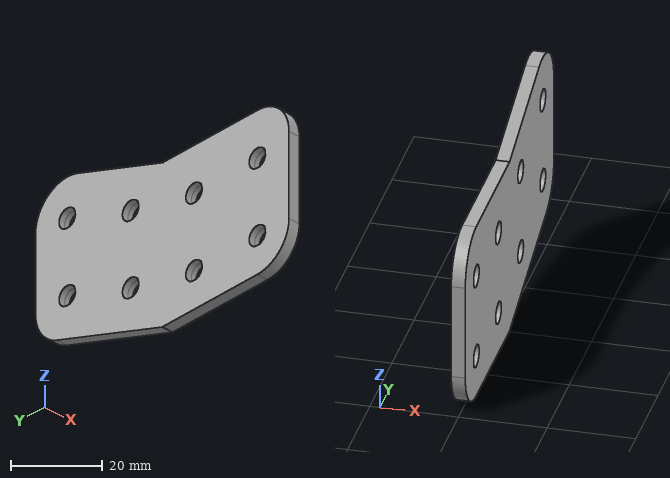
import cadquery as cq
import math

thickness = 3.2
length = 80.0
width = 42.5
bend_angle = 19.3
corner_radius = 10.0
hole_diameter = 5.1
hole_pitch = 20.0
straight_hole_height = 10.1
sloped_hole_heights = (14.6, 21.7)

half_length = length / 2
end_rise = half_length * math.tan(math.radians(bend_angle))

outline = [
    (-half_length, 0),
    (0, 0),
    (half_length, end_rise),
    (half_length, end_rise + width),
    (0, width),
    (-half_length, width),
]
plate = cq.Workplane("YZ").polyline(outline).close().extrude(thickness / 2, both=True)

plate = plate.faces("<Y or >Y").edges("|X").fillet(corner_radius)

lower_holes = [
    (-1.5 * hole_pitch, straight_hole_height),
    (-0.5 * hole_pitch, straight_hole_height),
    (0.5 * hole_pitch, sloped_hole_heights[0]),
    (1.5 * hole_pitch, sloped_hole_heights[1]),
]
hole_centers = [(y, z + row * hole_pitch) for y, z in lower_holes for row in range(2)]
holes = (
    cq.Workplane("YZ")
    .pushPoints(hole_centers)
    .circle(hole_diameter / 2)
    .extrude(thickness, both=True)
)

result = plate.cut(holes)